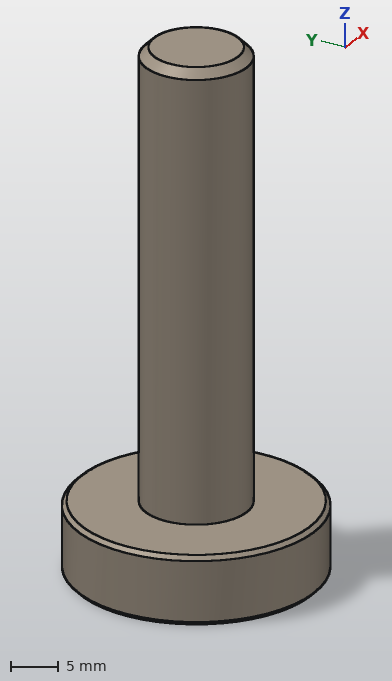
import cadquery as cq

total_height = 60.0
head_diameter = 28.0
head_height = 8.0
head_chamfer = 0.5
shank_diameter = 12.0
shank_chamfer = 1.0

shank_length = total_height - head_height

head = (
    cq.Workplane("XY")
    .circle(head_diameter / 2)
    .extrude(head_height)
    .edges()
    .chamfer(head_chamfer)
)

shank = (
    cq.Workplane("XY")
    .workplane(offset=head_height)
    .circle(shank_diameter / 2)
    .extrude(shank_length)
    .faces(">Z")
    .edges()
    .chamfer(shank_chamfer)
)

result = head.union(shank)